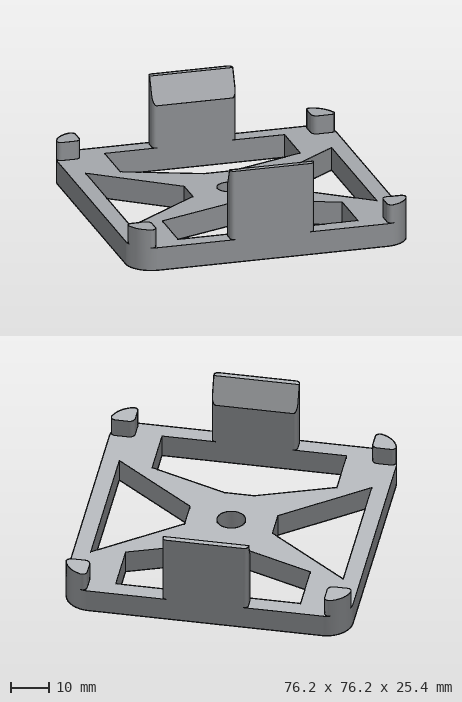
import cadquery as cq

side = 76.2
half = side / 2
base_height = 6.3
corner_inset = 6.55
corner_radius = 7.1
hole_diameter = 7.55

rim = 4.6
inner = half - rim
hub_half = 11.65
hub_flat_half = 4.0
wide_opening_half = 20.7
side_opening_half = 24.5
side_opening_inner = 19.2

post_top = 11.35
post_inner_fillet = 1.5
post_tip_fillet = 1.2

tab_top = 25.4
tab_width = 22.7
tab_tip = 1.5
tab_bevel_start = 18.05
tab_fillet = 1.1


def base_plate():
    """Square plate with a shallow arc at each corner and a central through hole."""
    start = half - corner_inset
    outline = (
        cq.Workplane("XY")
        .moveTo(-start, half)
        .lineTo(start, half)
        .radiusArc((half, start), corner_radius)
        .lineTo(half, -start)
        .radiusArc((start, -half), corner_radius)
        .lineTo(-start, -half)
        .radiusArc((-half, -start), corner_radius)
        .lineTo(-half, start)
        .radiusArc((-start, half), corner_radius)
        .close()
    )
    return outline.extrude(base_height).faces(">Z").workplane().hole(hole_diameter)


def opening_y():
    """Trapezoid opening between the hub and the +Y rim."""
    points = [
        (-wide_opening_half, inner),
        (wide_opening_half, inner),
        (hub_flat_half, hub_half),
        (-hub_flat_half, hub_half),
    ]
    return cq.Workplane("XY").polyline(points).close().extrude(base_height)


def opening_x():
    """Six-sided opening between the hub and the +X rim."""
    points = [
        (inner, -side_opening_half),
        (inner, side_opening_half),
        (side_opening_inner, side_opening_half),
        (hub_half, hub_flat_half),
        (hub_half, -hub_flat_half),
        (side_opening_inner, -side_opening_half),
    ]
    return cq.Workplane("XY").polyline(points).close().extrude(base_height)


def corner_post():
    """Post in the +X +Y corner, following the plate corner, with softened edges."""
    start = half - corner_inset
    post = (
        cq.Workplane("XY")
        .moveTo(start, start)
        .lineTo(half, start)
        .radiusArc((start, half), -corner_radius)
        .close()
        .extrude(post_top)
    )
    post = post.edges("|Z and (>X or >Y)").fillet(post_tip_fillet)
    inner_edge = cq.selectors.NearestToPointSelector((start, start, post_top / 2))
    return post.edges(inner_edge).fillet(post_inner_fillet)


def side_tab():
    """Upright tab on the +X rim with an inward-facing bevel."""
    profile = [
        (inner, 0),
        (half, 0),
        (half, tab_top),
        (half - tab_tip, tab_top),
        (inner, tab_bevel_start),
    ]
    tab = cq.Workplane("XZ").polyline(profile).close().extrude(tab_width / 2, both=True)
    return tab.edges("|Z").fillet(tab_fillet)


def turned(shape, angle):
    """Copy of a shape turned about the vertical centre axis."""
    return shape.rotate((0, 0, 0), (0, 0, 1), angle)


result = base_plate()
for angle in (0, 180):
    result = result.cut(turned(opening_x(), angle))
    result = result.cut(turned(opening_y(), angle))
    result = result.union(turned(side_tab(), angle))
for angle in (0, 90, 180, 270):
    result = result.union(turned(corner_post(), angle))